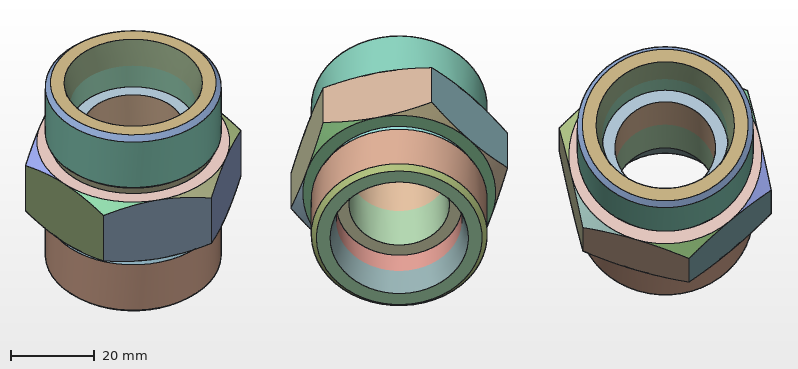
import cadquery as cq
import math

total_height = 54.0
hex_across_flats = 46.0
hex_height = total_height / 3
hex_chamfer_angle = math.radians(30)

thread_diameter = 42.0
neck_diameter = 39.55
neck_height = 1.6
thread_chamfer = (thread_diameter - neck_diameter) / 2

bore_diameter = 24.0
socket_diameter = 30.0
socket_depth = 13.4
mouth_diameter = 33.0
cone_half_angle = math.radians(12)
cone_depth = (mouth_diameter - socket_diameter) / 2 / math.tan(cone_half_angle)

half_height = total_height / 2
half_hex = hex_height / 2


def revolve_profile(points):
    """Revolve a closed (radius, height) outline around the Z axis."""
    return cq.Workplane("XZ").polyline(points).close().revolve(360, (0, 0, 0), (0, 1, 0))


def make_hexagon():
    """Hexagon with flats facing X and conical chamfers on its corners."""
    flat_radius = hex_across_flats / 2
    corner_radius = flat_radius / math.cos(math.radians(30))
    corner_drop = (corner_radius - flat_radius) * math.tan(hex_chamfer_angle)
    prism = (
        cq.Workplane("XY", origin=(0, 0, -half_hex))
        .polygon(6, 2 * corner_radius)
        .extrude(hex_height)
        .rotate((0, 0, 0), (0, 0, 1), 30)
    )
    chamfer_envelope = revolve_profile([
        (0, -half_hex),
        (flat_radius, -half_hex),
        (corner_radius, -half_hex + corner_drop),
        (corner_radius, half_hex - corner_drop),
        (flat_radius, half_hex),
        (0, half_hex),
    ])
    return prism.intersect(chamfer_envelope)


def make_threaded_end():
    """Upper plain-cylinder thread with chamfered ends and an undercut neck."""
    thread_radius = thread_diameter / 2
    neck_radius = neck_diameter / 2
    neck_top = half_hex + neck_height
    return revolve_profile([
        (0, 0),
        (neck_radius, 0),
        (neck_radius, neck_top),
        (thread_radius, neck_top + thread_chamfer),
        (thread_radius, half_height - thread_chamfer),
        (thread_radius - thread_chamfer, half_height),
        (0, half_height),
    ])


def make_socket():
    """Upper half of the passage: tapered mouth, tube socket and bore."""
    return revolve_profile([
        (0, 0),
        (bore_diameter / 2, 0),
        (bore_diameter / 2, half_height - socket_depth),
        (socket_diameter / 2, half_height - socket_depth),
        (socket_diameter / 2, half_height - cone_depth),
        (mouth_diameter / 2, half_height),
        (0, half_height),
    ])


result = make_hexagon()
upper_end = make_threaded_end()
upper_socket = make_socket()
for end in (upper_end, upper_end.mirror("XY")):
    result = result.union(end)
for socket in (upper_socket, upper_socket.mirror("XY")):
    result = result.cut(socket)